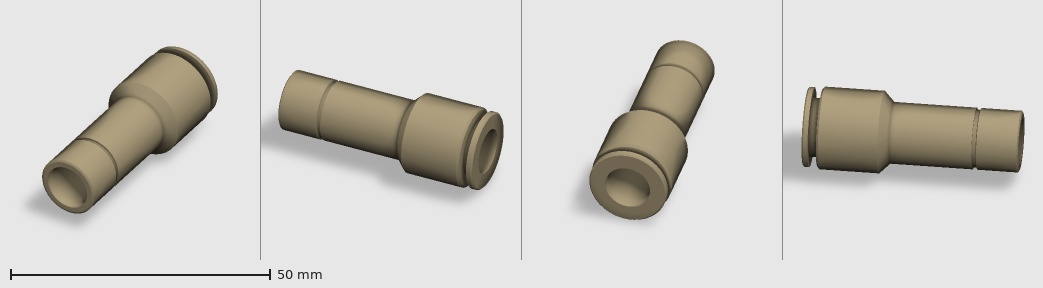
import cadquery as cq

total_length = 41.8
bore_diameter = 9.0

cap_diameter = 15.5
cap_thickness = 1.15
cap_chamfer = 0.3

neck_diameter = 11.4
collar_diameter = 11.6
collar_length = 0.2

body_diameter = 16.0
body_rim_chamfer = 0.4
body_mouth_diameter = 11.95
body_mouth_depth = 2.6
body_rim_depth = 2.8
body_end_depth = 14.75

stem_diameter = 11.95
stem_end_chamfer = 0.25
groove_diameter = 11.2
groove_start = 32.8
groove_width = 0.75
stem_tip_diameter = 11.2

bore_radius = bore_diameter / 2
cap_radius = cap_diameter / 2
neck_radius = neck_diameter / 2
collar_radius = collar_diameter / 2
body_radius = body_diameter / 2
mouth_radius = body_mouth_diameter / 2
stem_radius = stem_diameter / 2
groove_radius = groove_diameter / 2
tip_radius = stem_tip_diameter / 2
shoulder_length = body_radius - stem_radius
groove_slope = 0.15
collar_end = cap_thickness + collar_length
groove_end = groove_start + groove_width

cap_profile = [
    (bore_radius, 0),
    (cap_radius - cap_chamfer, 0),
    (cap_radius, cap_chamfer),
    (cap_radius, cap_thickness),
]
neck_profile = [
    (collar_radius, cap_thickness),
    (neck_radius, collar_end),
    (neck_radius, body_mouth_depth),
]
body_profile = [
    (mouth_radius, body_mouth_depth),
    (body_radius - body_rim_chamfer, body_rim_depth),
    (body_radius, body_rim_depth + body_rim_chamfer),
    (body_radius, body_end_depth),
    (stem_radius, body_end_depth + shoulder_length),
]
stem_profile = [
    (stem_radius, groove_start),
    (groove_radius, groove_start),
    (groove_radius, groove_end),
    (stem_radius, groove_end + groove_slope),
    (stem_radius, total_length - stem_end_chamfer),
    (tip_radius, total_length),
    (bore_radius, total_length),
]

half_profile = cap_profile + neck_profile + body_profile + stem_profile
outline = [(radius, total_length / 2 - depth) for radius, depth in half_profile]

result = cq.Workplane("XY").polyline(outline).close().revolve(360, (0, 0, 0), (0, 1, 0))